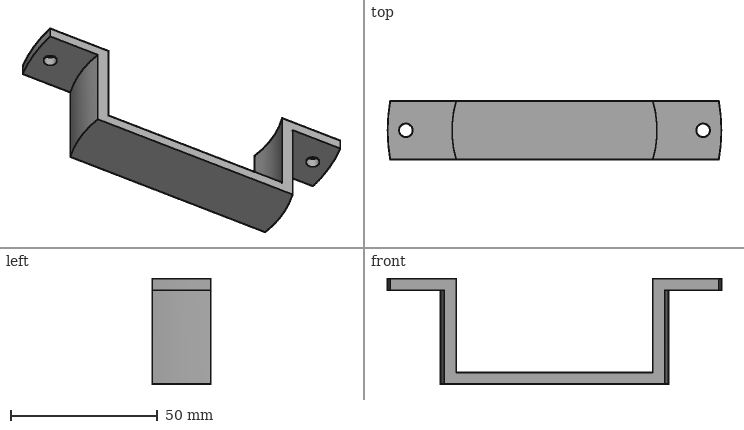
import cadquery as cq

flange_radius = 56.9
inner_radius = 34.9
thickness = 4.0
height = 36.0
width = 20.0
hole_diameter = 4.5
hole_offset = 50.6

outer_radius = inner_radius + thickness


def disc(radius, bottom, top):
    """Upright cylinder on the Z axis between two heights."""
    return cq.Workplane("XY").workplane(offset=bottom).circle(radius).extrude(top - bottom)


cup = disc(outer_radius, 0, height)
flange = disc(flange_radius, height - thickness, height)
cavity = disc(inner_radius, thickness, height)
flanged_cup = cup.union(flange).cut(cavity)

strip = cq.Workplane("XY").box(2 * flange_radius, width, height, centered=(True, True, False))
bracket = flanged_cup.intersect(strip)

mounting_holes = (
    cq.Workplane("XY")
    .pushPoints([(-hole_offset, 0), (hole_offset, 0)])
    .circle(hole_diameter / 2)
    .extrude(height)
)

result = bracket.cut(mounting_holes)